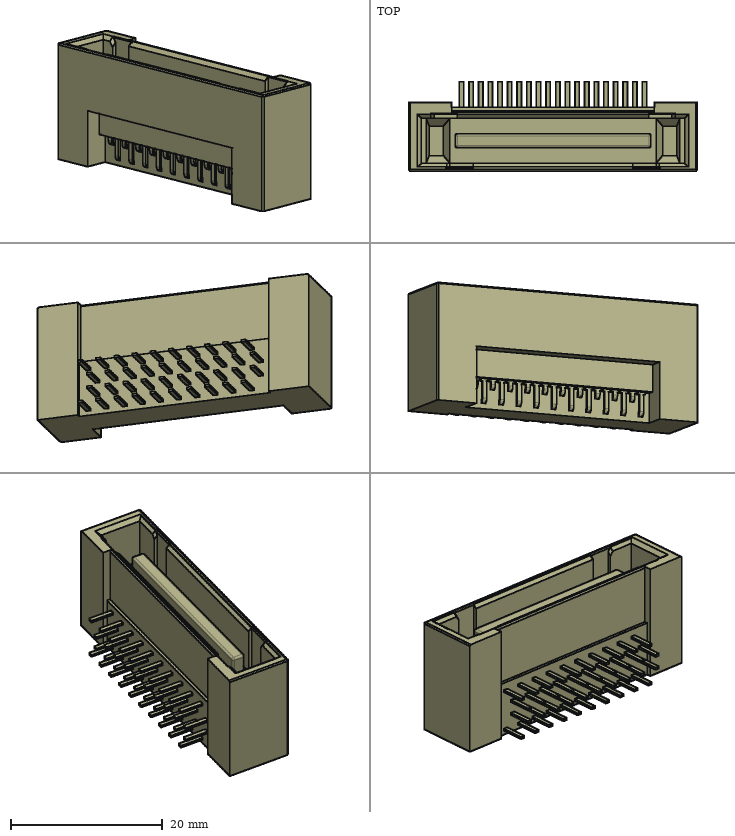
import cadquery as cq
import math


length = 38.0
depth = 9.1
height = 15.8
front_bevel = 0.25
side_bevel = 0.2

cavity_half_length = 17.33
cavity_front = 1.05
cavity_back = 7.0
cavity_floor = 8.6
front_lead_in = 0.45
lead_in = 0.57

front_groove_inner = 10.5
front_groove_outer = 13.6
front_groove_mouth = 0.2
back_groove_inner = 12.58
back_groove_outer = 15.6
back_groove_mouth = 0.1
groove_edge_chamfer = 0.5
groove_step = 0.38
groove_floor = cavity_floor + groove_step

pit_inner = 13.55
pit_outer = 16.72
pit_depth = 1.45
pit_inner_taper = 0.87
pit_outer_taper = 0.4
pit_end_taper = 1.03

tongue_length = 25.75
tongue_front = 3.1
tongue_back = 4.98
tongue_top = 13.85
tongue_fillet = 0.3

recess_length = 26.68
slot_top = 7.65
slot_depth = 2.2
slot_step_top = 4.0
slot_step_depth = 3.25
back_ledge = 8.47
upper_back = 8.0
ledge_top = slot_top
back_bevel = 0.23

column_count = 20
pitch = 1.27
pin_width = 0.6
pin_thickness = 0.3
pin_tip = 11.8
pin_bend_radius = 0.8
pin_proud = 0.38
shoulder_width = 1.03
shoulder_bottom = 3.7
row_heights = (0.75, 2.65, 4.55, 6.45)
straight_pin_start = 5.7


def block(x_range, y_range, z_range):
    """Axis-aligned box given by its limits."""
    size = [limits[1] - limits[0] for limits in (x_range, y_range, z_range)]
    corner = (x_range[0], y_range[0], z_range[0])
    return cq.Workplane("XY").box(*size, centered=False).translate(corner)


def mirrored(shape):
    """The shape together with its mirror image across the middle of the housing."""
    return shape.union(shape.mirror("YZ"))


def rectangle_loft(low, low_z, high, high_z):
    """Tapered block between two rectangles, each given as (x0, x1, y0, y1)."""
    def outline(limits, z):
        x0, x1, y0, y1 = limits
        corners = [(x0, y0, z), (x1, y0, z), (x1, y1, z), (x0, y1, z)]
        return cq.Wire.makePolygon([cq.Vector(*corner) for corner in corners], close=True)

    solid = cq.Solid.makeLoft([outline(low, low_z), outline(high, high_z)], True)
    return cq.Workplane(obj=solid)


def prism_along_x(points, half_length):
    """Outline of (y, z) points extruded symmetrically along X."""
    return cq.Workplane("YZ").polyline(points).close().extrude(half_length, both=True)


def housing():
    half = length / 2
    plan = [
        (-half, depth),
        (-half, front_bevel),
        (-half + side_bevel, 0),
        (half - side_bevel, 0),
        (half, front_bevel),
        (half, depth),
    ]
    body = cq.Workplane("XY").polyline(plan).close().extrude(height)
    rim = [(0, height - side_bevel), (front_bevel, height), (0, height)]
    body = body.cut(prism_along_x(rim, half))
    end_rim = [(half, height - side_bevel), (half, height), (half - side_bevel, height)]
    end_cut = cq.Workplane("XZ").polyline(end_rim).close().extrude(-depth)
    return body.cut(mirrored(end_cut))


def cavity():
    half = cavity_half_length
    well = block((-half, half), (cavity_front, cavity_back), (cavity_floor, height))

    def lead_in_outline(front, other):
        return (-half - other, half + other, cavity_front - front, cavity_back + other)

    lead_in_side = rectangle_loft(
        lead_in_outline(0, 0), height - lead_in, lead_in_outline(lead_in, lead_in), height
    )
    front_limit = block((-length, length), (cavity_front - front_lead_in, depth), (0, height))
    return well.union(lead_in_side.intersect(front_limit))


def groove(inner, outer, wall_y, cut_depth, mouth, outward):
    """Pair of vertical grooves; `outward` is the Y direction from the cavity into the wall."""
    bottom_y = wall_y + outward * cut_depth
    y_range = sorted((wall_y, bottom_y))
    channel = block((inner, outer), y_range, (groove_floor, height))

    mouth_outline = [(bottom_y, height - mouth), (bottom_y + outward * mouth, height), (bottom_y, height)]
    mouth_bevel = prism_along_x(mouth_outline, length).intersect(
        block((inner, outer + groove_edge_chamfer), (0, depth), (0, height))
    )

    slope = math.sqrt(0.5)
    edge_plane = cq.Plane(
        origin=(outer, wall_y, height - cut_depth),
        xDir=(1, 0, 0),
        normal=(0, outward * slope, slope),
    )
    run = 2 * cut_depth
    edge_cut = (
        cq.Workplane(edge_plane)
        .polyline([(0, 0), (groove_edge_chamfer, 0), (0, outward * groove_edge_chamfer)])
        .close()
        .extrude(run, both=True)
        .intersect(block((0, length), y_range, (0, height)))
    )
    return mirrored(channel.union(mouth_bevel).union(edge_cut))


def pits():
    floor = (
        pit_inner + pit_inner_taper,
        pit_outer - pit_outer_taper,
        cavity_front + pit_end_taper,
        cavity_back - pit_end_taper,
    )
    mouth = (pit_inner, pit_outer, cavity_front, cavity_back)
    return mirrored(rectangle_loft(floor, cavity_floor - pit_depth, mouth, cavity_floor))


def tongue():
    half = tongue_length / 2
    blade = block((-half, half), (tongue_front, tongue_back), (slot_top, tongue_top))
    return blade.edges("|Z or >Z").fillet(tongue_fillet)


def front_slot():
    profile = [
        (0, 0),
        (0, slot_top),
        (slot_depth, slot_top),
        (slot_depth, slot_step_top),
        (slot_step_depth, slot_step_top),
        (slot_step_depth, 0),
    ]
    return prism_along_x(profile, recess_length / 2)


def back_recess():
    profile = [
        (depth, 0),
        (back_ledge, 0),
        (back_ledge, ledge_top),
        (upper_back, ledge_top),
        (upper_back, height - back_bevel),
        (upper_back - back_bevel, height),
        (depth, height),
    ]
    return prism_along_x(profile, recess_length / 2)


def bent_pin(x, row_z):
    """Pin that drops along the slot wall, bends and runs out through the back."""
    front = slot_step_depth - pin_proud
    bottom = row_z - pin_thickness / 2
    inner_radius = pin_bend_radius - pin_thickness
    profile = (
        cq.Workplane("YZ", origin=(x, 0, 0))
        .moveTo(front, slot_step_top)
        .lineTo(front, bottom + pin_bend_radius)
        .radiusArc((front + pin_bend_radius, bottom), -pin_bend_radius)
        .lineTo(pin_tip, bottom)
        .lineTo(pin_tip, bottom + pin_thickness)
        .lineTo(front + pin_bend_radius, bottom + pin_thickness)
        .radiusArc((front + pin_thickness, bottom + pin_bend_radius), inner_radius)
        .lineTo(front + pin_thickness, slot_step_top)
        .close()
    )
    shoulder = block(
        (x - shoulder_width / 2, x + shoulder_width / 2),
        (front, slot_step_depth),
        (shoulder_bottom, slot_step_top),
    )
    return profile.extrude(pin_width / 2, both=True).union(shoulder)


def straight_pin(x, row_z):
    """Pin of the upper rows, running straight out through the back."""
    return block(
        (x - pin_width / 2, x + pin_width / 2),
        (straight_pin_start, pin_tip),
        (row_z - pin_thickness / 2, row_z + pin_thickness / 2),
    )


body = housing().cut(front_slot()).cut(back_recess()).cut(cavity()).cut(pits())
body = body.cut(
    groove(front_groove_inner, front_groove_outer, cavity_front, front_lead_in, front_groove_mouth, -1)
)
body = body.cut(
    groove(back_groove_inner, back_groove_outer, cavity_back, lead_in, back_groove_mouth, 1)
)
body = body.union(tongue())

for column in range(column_count):
    column_x = (column - (column_count - 1) / 2) * pitch
    if column % 2 == 0:
        bent_row, straight_row = row_heights[1], row_heights[2]
    else:
        bent_row, straight_row = row_heights[0], row_heights[3]
    body = body.union(bent_pin(column_x, bent_row))
    body = body.union(straight_pin(column_x, straight_row))

result = body